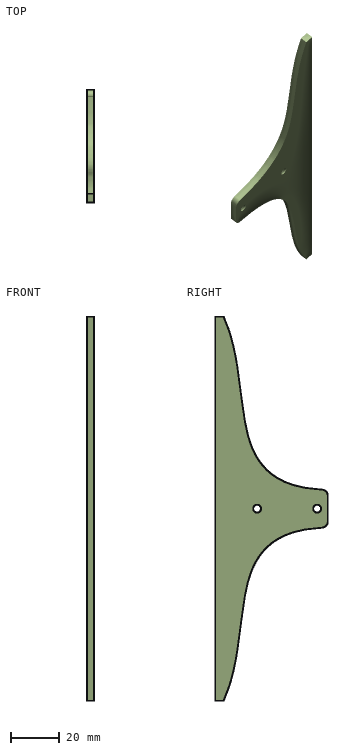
import cadquery as cq
import math

thickness = 3.0
width = 47.0
length = 160.0
half_length = length / 2

tip_width = 3.6

tang_half_width = 8.0
tang_corner_radius = 2.7

root_point = (13.95, 29.75)
flank_point = (11.75, 41.0)
outer_point = (8.6, 63.25)

hole_diameter = 3.2
hole_edge_distance = 4.5
hole_spacing = 25.0


def half_fin():
    """The half of the plate with Z >= 0."""
    tip = (tip_width, half_length)
    corner_start = (width, tang_half_width - tang_corner_radius)
    corner_end = (width - tang_corner_radius, tang_half_width)
    corner_cut = tang_corner_radius * (1 - math.sqrt(0.5))
    corner_middle = (width - corner_cut, tang_half_width - corner_cut)

    return (
        cq.Workplane("YZ")
        .moveTo(0, 0)
        .lineTo(width, 0)
        .lineTo(*corner_start)
        .threePointArc(corner_middle, corner_end)
        .spline([root_point, flank_point, outer_point, tip], includeCurrent=True)
        .lineTo(0, half_length)
        .close()
        .extrude(thickness)
    )


def screw_holes():
    """Through cutters for the two screw holes."""
    outer_hole_y = width - hole_edge_distance
    inner_hole_y = outer_hole_y - hole_spacing
    return (
        cq.Workplane("YZ")
        .pushPoints([(outer_hole_y, 0), (inner_hole_y, 0)])
        .circle(hole_diameter / 2)
        .extrude(thickness)
    )


upper_half = half_fin()
plate = upper_half.union(upper_half.mirror("XY")).clean()
result = plate.cut(screw_holes())